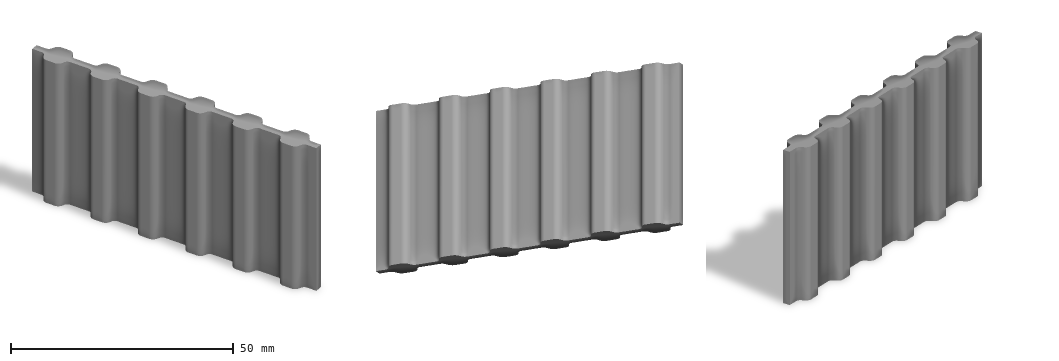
import cadquery as cq
import math

length = 76.2
height = 38.1
rib_thickness = 6.3
web_thickness = 1.8
rib_count = 6
rib_flat_width = 2.2
flank_angle = math.radians(67)
crest_radius = 1.5
root_radius = 1.2

rib_pitch = length / rib_count
half_thickness = rib_thickness / 2
half_crest = rib_flat_width / 2 + crest_radius * math.tan(flank_angle / 2)
half_waist = half_crest + half_thickness / math.tan(flank_angle)


def make_rib():
    """Upright hexagonal bar, widest at mid-thickness, with rounded crest corners."""
    outline = [
        (half_crest, half_thickness),
        (half_waist, 0),
        (half_crest, -half_thickness),
        (-half_crest, -half_thickness),
        (-half_waist, 0),
        (-half_crest, half_thickness),
    ]
    bar = cq.Workplane("XY").polyline(outline).close().extrude(height / 2, both=True)
    crest_edges = bar.edges("|Z").edges("<Y or >Y")
    return crest_edges.fillet(crest_radius)


body = cq.Workplane("XY").box(length, web_thickness, height)

rib = make_rib()
first_rib_x = (rib_pitch - length) / 2
for index in range(rib_count):
    body = body.union(rib.translate((first_rib_x + index * rib_pitch, 0, 0)))

root_box = cq.selectors.BoxSelector(
    (first_rib_x - half_waist, -web_thickness, -height),
    (-first_rib_x + half_waist, web_thickness, height),
)
result = body.edges("|Z").edges(root_box).fillet(root_radius)